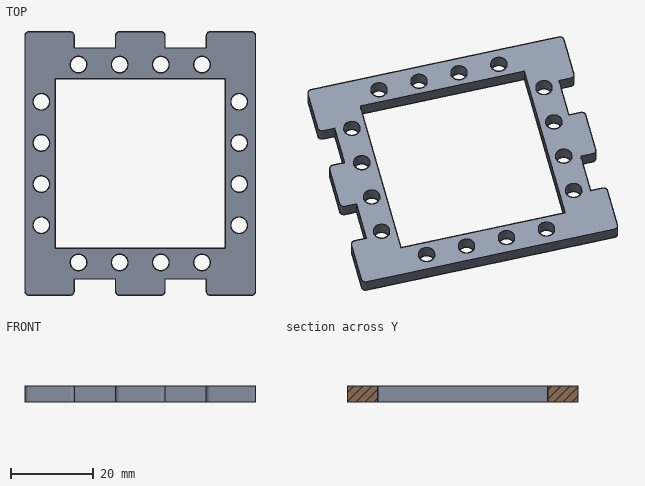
import cadquery as cq

width = 56.0
length = 64.0
thickness = 4.0
corner_radius = 1.0

window_width = 41.2
window_length = 41.0

notch_width = 10.0
notch_depth = 4.0
middle_tab_width = 12.0
notch_offset = (middle_tab_width + notch_width) / 2

hole_diameter = 4.0
hole_pitch = 10.0
holes_per_row = 4
row_offset = 24.0


def make_blank():
    """Plate with notched ends and rounded tab corners."""
    blank = cq.Workplane("XY").rect(width, length).extrude(thickness)
    notch_centers = [
        (side * notch_offset, end * length / 2)
        for side in (-1, 1)
        for end in (-1, 1)
    ]
    notches = (
        cq.Workplane("XY")
        .pushPoints(notch_centers)
        .rect(notch_width, 2 * notch_depth)
        .extrude(thickness)
    )
    return blank.cut(notches).faces("<Y or >Y").edges("|Z").fillet(corner_radius)


def make_window():
    return cq.Workplane("XY").rect(window_width, window_length).extrude(thickness)


def make_holes():
    row_positions = [
        (index - (holes_per_row - 1) / 2) * hole_pitch
        for index in range(holes_per_row)
    ]
    centers = []
    for side in (-1, 1):
        for position in row_positions:
            centers.append((position, side * row_offset))
            centers.append((side * row_offset, position))
    return cq.Workplane("XY").pushPoints(centers).circle(hole_diameter / 2).extrude(thickness)


result = make_blank().cut(make_window()).cut(make_holes())